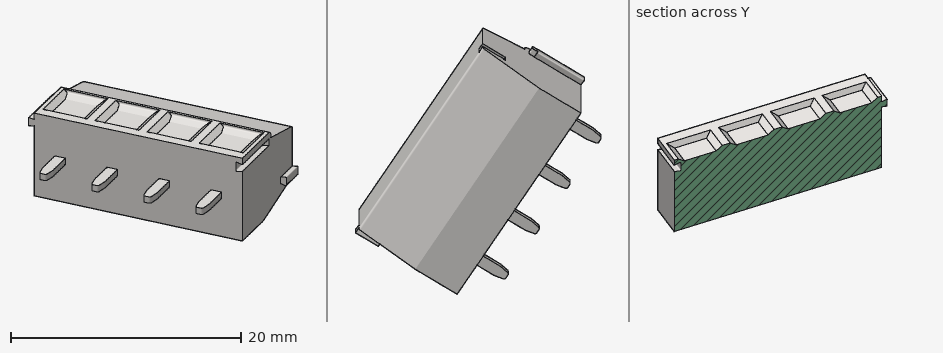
import cadquery as cq
import math


POLES = 4
BODY_LENGTH = 20.0
BODY_DEPTH = 10.13
BODY_HEIGHT = 8.1
PITCH = BODY_LENGTH / POLES
BOTTOM_FLAT = 4.3
BACK_LOW = 1.59
BACK_HIGH = 6.51
BACK_ROUND = 0.23
STEP_DEPTH = 5.8
STEP_LOW = 7.42
STEP_ROUND = 0.47

POCKET_WIDTH = 4.23
POCKET_FLOOR_WIDTH = 3.07
POCKET_DEPTH = 0.42
POCKET_FRONT = 1.0
POCKET_FLOOR_FRONT = 1.4
POCKET_FLOOR_BACK = 4.25
POCKET_RAMP_ANGLE = 10
POCKET_BACK = 5.2
POCKET_WALL_ROUND = 0.17

PIN_WIDTH = 1.01
PIN_THICKNESS = 0.61
PIN_LENGTH = 3.53
PIN_STRAIGHT = 2.54
PIN_TIP_WIDTH = 0.65
PIN_TIP_ROUND = 0.2
PIN_EMBED = 0.21
PIN_Z = BODY_HEIGHT / 2

RAIL_REACH = 0.57
RAIL_ROOT = 0.63
RAIL_WIDE = 0.87
FRONT_RAIL_Z = 7.15
FRONT_RAIL_LENGTH = 5.37
LEAD_IN_LENGTH = 0.55
LEAD_IN_HEIGHT = 0.55
LEAD_IN_ROUND = 0.15
BACK_RAIL_Z = 2.3
BACK_RAIL_LENGTH = 2.35
GROOVE_REACH = 0.63
GROOVE_ROOT = 0.65
GROOVE_WIDE = 0.93
DOVETAIL_ROUND = 0.1


def make_body():
    profile = [
        (0, 0),
        (BOTTOM_FLAT, 0),
        (BODY_DEPTH, BACK_LOW),
        (BODY_DEPTH, BACK_HIGH),
        (STEP_DEPTH, STEP_LOW),
        (STEP_DEPTH, BODY_HEIGHT),
        (0, BODY_HEIGHT),
    ]
    body = cq.Workplane("YZ").polyline(profile).close().extrude(BODY_LENGTH)
    body = body.edges("|X and >Y").fillet(BACK_ROUND)
    step_edge = cq.selectors.NearestToPointSelector((BODY_LENGTH / 2, STEP_DEPTH, BODY_HEIGHT))
    return body.edges(step_edge).fillet(STEP_ROUND)


def make_pocket(center_x):
    """Side profile swept along X, limited by sloping side walls."""
    floor = BODY_HEIGHT - POCKET_DEPTH
    ramp_run = POCKET_BACK - POCKET_FLOOR_BACK
    ramp_top = floor + ramp_run * math.tan(math.radians(POCKET_RAMP_ANGLE))
    ramp_corner = cq.selectors.NearestToPointSelector((center_x, POCKET_BACK, ramp_top))
    side = (
        cq.Workplane("YZ", origin=(center_x - POCKET_WIDTH / 2, 0, 0))
        .moveTo(POCKET_FRONT, BODY_HEIGHT)
        .lineTo(POCKET_FLOOR_FRONT, floor)
        .lineTo(POCKET_FLOOR_BACK, floor)
        .lineTo(POCKET_BACK, ramp_top)
        .lineTo(POCKET_BACK, BODY_HEIGHT)
        .close()
        .extrude(POCKET_WIDTH)
        .edges(ramp_corner)
        .fillet(POCKET_WALL_ROUND)
    )
    walls = (
        cq.Workplane("XZ")
        .polyline([
            (center_x - POCKET_WIDTH / 2, BODY_HEIGHT),
            (center_x - POCKET_FLOOR_WIDTH / 2, floor),
            (center_x + POCKET_FLOOR_WIDTH / 2, floor),
            (center_x + POCKET_WIDTH / 2, BODY_HEIGHT),
        ])
        .close()
        .extrude(-BODY_DEPTH)
    )
    return side.intersect(walls)


def make_pin(center_x):
    outline = [
        (-PIN_WIDTH / 2, PIN_EMBED),
        (-PIN_WIDTH / 2, -PIN_STRAIGHT),
        (-PIN_TIP_WIDTH / 2, -PIN_LENGTH),
        (PIN_TIP_WIDTH / 2, -PIN_LENGTH),
        (PIN_WIDTH / 2, -PIN_STRAIGHT),
        (PIN_WIDTH / 2, PIN_EMBED),
    ]
    pin = (
        cq.Workplane("XY", origin=(center_x, 0, PIN_Z - PIN_THICKNESS / 2))
        .polyline(outline)
        .close()
        .extrude(PIN_THICKNESS)
    )
    return pin.edges("|Z and <Y").fillet(PIN_TIP_ROUND)


def make_dovetail(root_x, direction, reach, root, wide, start_y, length, z):
    """Bar along Y that widens away from root_x; direction is +1 or -1 along X."""
    tip_x = root_x + direction * reach
    bar = (
        cq.Workplane("XZ", origin=(0, start_y, z))
        .polyline([
            (root_x, -root / 2),
            (tip_x, -wide / 2),
            (tip_x, wide / 2),
            (root_x, root / 2),
        ])
        .close()
        .extrude(-length)
    )
    tip_edges = "|Y and >X" if direction > 0 else "|Y and <X"
    return bar.edges(tip_edges).fillet(DOVETAIL_ROUND)


def make_rail(root_x, direction, start_y, length, z):
    return make_dovetail(root_x, direction, RAIL_REACH, RAIL_ROOT, RAIL_WIDE, start_y, length, z)


def make_groove(face_x, direction, start_y, length, z):
    return make_dovetail(face_x, direction, GROOVE_REACH, GROOVE_ROOT, GROOVE_WIDE, start_y, length, z)


def make_lead_in():
    lead_in = cq.Workplane("XY").box(
        RAIL_REACH, LEAD_IN_LENGTH, LEAD_IN_HEIGHT, centered=(False, False, True)
    )
    lead_in = lead_in.edges("|X and >Y").fillet(LEAD_IN_ROUND)
    return lead_in.translate((-RAIL_REACH, FRONT_RAIL_LENGTH - LEAD_IN_LENGTH, FRONT_RAIL_Z))


result = make_body()

for pole in range(POLES):
    pole_x = (pole + 0.5) * PITCH
    result = result.cut(make_pocket(pole_x)).union(make_pin(pole_x))

back_rail_start = BODY_DEPTH - BACK_RAIL_LENGTH
result = result.union(make_rail(0, -1, 0, FRONT_RAIL_LENGTH - LEAD_IN_LENGTH, FRONT_RAIL_Z))
result = result.union(make_lead_in())
result = result.cut(make_groove(0, 1, back_rail_start, BACK_RAIL_LENGTH, BACK_RAIL_Z))

result = result.cut(make_groove(BODY_LENGTH, -1, 0, FRONT_RAIL_LENGTH, FRONT_RAIL_Z))
result = result.union(make_rail(BODY_LENGTH, 1, back_rail_start, BACK_RAIL_LENGTH, BACK_RAIL_Z))